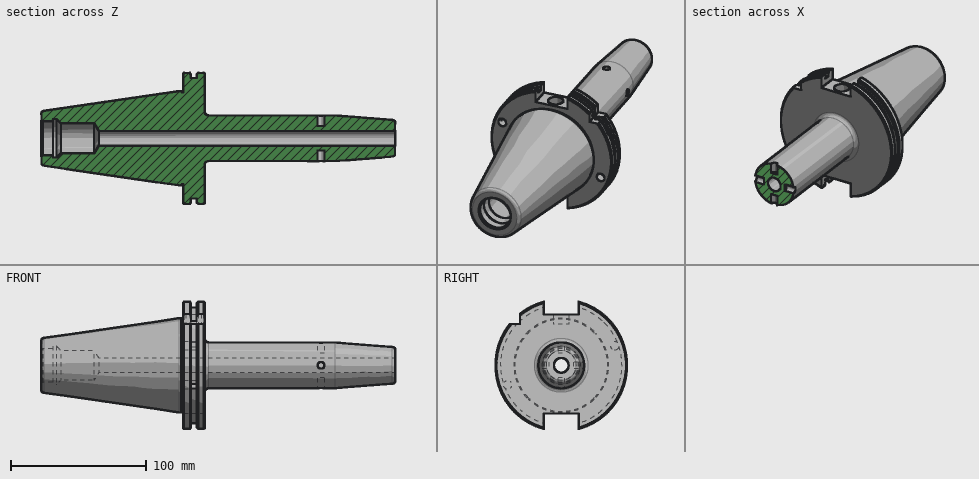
import cadquery as cq
import math


gauge_diameter = 70.0
taper_length = 101.8
taper_rate = 7 / 24
end_rounding = 2.5

flange_diameter = 97.5
flange_back = 3.1
flange_front = 19.0
rim_chamfer = 0.8
relief_width = 1.5
relief_depth = 0.8

groove_center = 11.0
groove_floor_width = 4.2
groove_floor_diameter = 89.5
groove_chamfer_depth = 1.3
groove_back_chamfer = 0.8
groove_front_chamfer = 1.3

slot_width = 25.7
upper_slot_floor = 37.7
lower_slot_floor = 35.5
notch_corner = 30.5
pocket_diameter = 11.3
pocket_depth = 7.3

coolant_diameter = 6.3
coolant_circle_radius = 42.1
coolant_angle = 20
coolant_depth = 10.0
drill_point_angle = 118

shank_diameter = 34.0
nose_tip = 261.8 - taper_length
nose_length = 44.5
nose_half_angle = 4.5
nose_rounding = 2.5
shank_fillet = 3.0
cross_hole_diameter = 5.0
cross_hole_depth = 7.9
cross_hole_x = 105.0

mouth_diameter = 24.9
mouth_depth = 9.0
mouth_chamfer = 0.5
mouth_chamfer_length = 1.5
undercut_diameter = 28.3
undercut_width = 2.5
thread_diameter = 22.0
thread_depth = 39.3
through_diameter = 10.7

taper_end = -taper_length
flange_radius = flange_diameter / 2
gauge_radius = gauge_diameter / 2
shank_radius = shank_diameter / 2
flange_width = flange_front - flange_back


def revolve_about_x(outline):
    return outline.close().revolve(360, (0, 0, 0), (1, 0, 0))


def make_taper():
    small_radius = gauge_radius - taper_length * taper_rate / 2
    relief_start = flange_back - relief_width
    relief_radius = gauge_radius - relief_depth
    outline = (
        cq.Workplane("XY")
        .moveTo(taper_end, 0)
        .lineTo(taper_end, small_radius)
        .lineTo(0, gauge_radius)
        .lineTo(relief_start, gauge_radius)
        .lineTo(relief_start + relief_depth, relief_radius)
        .lineTo(flange_back, relief_radius)
        .lineTo(flange_back, 0)
    )
    return revolve_about_x(outline).faces("<X").edges().fillet(end_rounding)


def make_flange():
    disc = cq.Workplane("YZ", origin=(flange_back, 0, 0)).circle(flange_radius).extrude(flange_width)
    return disc.edges().chamfer(rim_chamfer)


def make_shank():
    nose_start = nose_tip - nose_length
    tip_radius = shank_radius - nose_length * math.tan(math.radians(nose_half_angle))
    outline = (
        cq.Workplane("XY")
        .moveTo(flange_front, 0)
        .lineTo(flange_front, shank_radius + shank_fillet)
        .radiusArc((flange_front + shank_fillet, shank_radius), -shank_fillet)
        .lineTo(nose_start, shank_radius)
        .lineTo(nose_tip, tip_radius)
        .lineTo(nose_tip, 0)
    )
    return revolve_about_x(outline).faces(">X").edges().fillet(nose_rounding)


def make_groove():
    floor_radius = groove_floor_diameter / 2
    wall_radius = flange_radius - groove_chamfer_depth
    back_wall = groove_center - groove_floor_width / 2
    front_wall = groove_center + groove_floor_width / 2
    back_edge = back_wall - groove_back_chamfer
    front_edge = front_wall + groove_front_chamfer
    outline = (
        cq.Workplane("XY")
        .moveTo(back_wall, floor_radius)
        .lineTo(back_wall, wall_radius)
        .lineTo(back_edge, flange_radius)
        .lineTo(back_edge, flange_diameter)
        .lineTo(front_edge, flange_diameter)
        .lineTo(front_edge, flange_radius)
        .lineTo(front_wall, wall_radius)
        .lineTo(front_wall, floor_radius)
    )
    return revolve_about_x(outline)


def make_flange_block(y_size, y_low, z_low):
    """Block spanning the flange width in X and one flange radius in Z, from its lowest corner."""
    corner = (flange_back, y_low, z_low)
    return cq.Workplane("XY", origin=corner).box(flange_width, y_size, flange_radius, centered=False)


def make_flange_cuts():
    upper_slot = make_flange_block(slot_width, -slot_width / 2, upper_slot_floor)
    lower_slot = make_flange_block(slot_width, -slot_width / 2, -lower_slot_floor - flange_radius)
    notch = make_flange_block(flange_radius, -notch_corner - flange_radius, notch_corner)
    pocket = (
        cq.Workplane("XY", origin=(groove_center, 0, upper_slot_floor))
        .circle(pocket_diameter / 2)
        .extrude(-pocket_depth)
    )
    return upper_slot.union(lower_slot).union(notch).union(pocket)


def make_coolant_hole(angle):
    radius = coolant_diameter / 2
    point_length = radius / math.tan(math.radians(drill_point_angle / 2))
    outline = (
        cq.Workplane("XY")
        .moveTo(flange_back, 0)
        .lineTo(flange_back, radius)
        .lineTo(flange_back + coolant_depth, radius)
        .lineTo(flange_back + coolant_depth + point_length, 0)
    )
    hole = revolve_about_x(outline).translate((0, coolant_circle_radius, 0))
    return hole.rotate((0, 0, 0), (1, 0, 0), angle)


def make_bore():
    mouth_radius = mouth_diameter / 2
    undercut_radius = undercut_diameter / 2
    thread_radius = thread_diameter / 2
    through_radius = through_diameter / 2
    mouth_end = taper_end + mouth_depth
    undercut_end = mouth_end + undercut_width
    thread_start = undercut_end + undercut_radius - thread_radius
    thread_end = taper_end + thread_depth
    cone_length = (thread_radius - through_radius) / math.tan(math.radians(drill_point_angle / 2))
    outline = (
        cq.Workplane("XY")
        .moveTo(taper_end, 0)
        .lineTo(taper_end, mouth_radius + mouth_chamfer)
        .lineTo(taper_end + mouth_chamfer_length, mouth_radius)
        .lineTo(mouth_end, mouth_radius)
        .lineTo(mouth_end, undercut_radius)
        .lineTo(undercut_end, undercut_radius)
        .lineTo(thread_start, thread_radius)
        .lineTo(thread_end, thread_radius)
        .lineTo(thread_end + cone_length, through_radius)
        .lineTo(nose_tip, through_radius)
        .lineTo(nose_tip, 0)
    )
    return revolve_about_x(outline)


def make_cross_hole(angle):
    hole = (
        cq.Workplane("XY", origin=(cross_hole_x, 0, shank_radius - cross_hole_depth))
        .circle(cross_hole_diameter / 2)
        .extrude(shank_radius)
    )
    return hole.rotate((0, 0, 0), (1, 0, 0), angle)


flange = make_flange().cut(make_groove()).cut(make_flange_cuts())
result = make_taper().union(flange).union(make_shank())
for angle in (coolant_angle, coolant_angle + 180):
    result = result.cut(make_coolant_hole(angle))
for angle in (0, 90, 180, 270):
    result = result.cut(make_cross_hole(angle))
result = result.cut(make_bore())